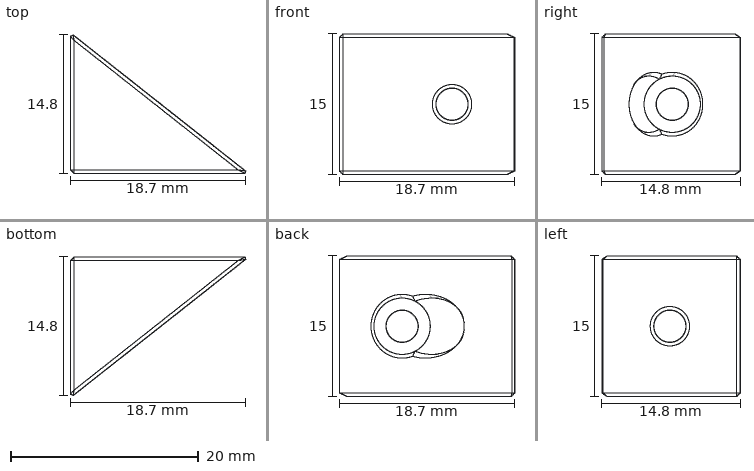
import cadquery as cq
import math

leg_x = 19.0
leg_y = 15.0
height = 15.0
edge_chamfer = 0.4

hole_diameter = 3.4
head_diameter = 6.0
seat_thickness = 2.0
hole_z = height / 2
front_hole_x = 12.0
side_hole_y = leg_y / 2

corners = [cq.Vector(0, 0), cq.Vector(leg_x, 0), cq.Vector(0, leg_y)]


def corner_points(index):
    """Chamfer points of one corner: where it is cut on the incoming and outgoing sides,
    and the nearby corner of the cap, which is inset from both sides."""
    corner = corners[index]
    to_previous = (corners[index - 1] - corner).normalized()
    to_next = (corners[(index + 1) % len(corners)] - corner).normalized()
    half_angle = to_previous.getAngle(to_next) / 2
    bisector = (to_previous + to_next).normalized()
    incoming_cut = corner + to_previous * edge_chamfer
    outgoing_cut = corner + to_next * edge_chamfer
    cap_corner = corner + bisector * (edge_chamfer / math.sin(half_angle))
    return incoming_cut, outgoing_cut, cap_corner


def flat_face(*points):
    return cq.Face.makeFromWires(cq.Wire.makePolygon(points, close=True))


def make_block():
    """Triangular prism with every edge chamfered and a flat triangle at every corner."""
    low_wall = cq.Vector(0, 0, edge_chamfer)
    high_wall = cq.Vector(0, 0, height - edge_chamfer)
    cap_levels = [(cq.Vector(0, 0, 0), low_wall), (cq.Vector(0, 0, height), high_wall)]
    points = [corner_points(index) for index in range(len(corners))]
    faces = []

    for cap, _ in cap_levels:
        faces.append(flat_face(*[cap_corner + cap for _, _, cap_corner in points]))

    for index, (incoming_cut, outgoing_cut, cap_corner) in enumerate(points):
        next_cut, _, next_cap_corner = points[(index + 1) % len(points)]

        for start, end in [(incoming_cut, outgoing_cut), (outgoing_cut, next_cut)]:
            faces.append(
                flat_face(start + low_wall, end + low_wall, end + high_wall, start + high_wall)
            )

        for cap, wall in cap_levels:
            faces.append(flat_face(incoming_cut + wall, outgoing_cut + wall, cap_corner + cap))
            faces.append(
                flat_face(
                    outgoing_cut + wall, next_cut + wall, next_cap_corner + cap, cap_corner + cap
                )
            )

    return cq.Workplane(cq.Solid.makeSolid(cq.Shell.makeShell(faces)))


def make_screw_cutter(mouth, direction, length):
    """Chamfered screw hole starting at mouth, widening to the head recess behind its seat."""
    hole_radius = hole_diameter / 2
    hole = cq.Solid.makeCylinder(hole_radius, length, mouth, direction)
    mouth_chamfer = cq.Solid.makeCone(
        hole_radius + edge_chamfer, hole_radius, edge_chamfer, mouth, direction
    )
    seat = mouth + direction * seat_thickness
    recess = cq.Solid.makeCylinder(head_diameter / 2, length - seat_thickness, seat, direction)
    return hole.fuse(mouth_chamfer, recess)


def chamfer_recess_rims(body):
    """Chamfer the curved rims that the two recesses leave in the sloped face."""
    outward = cq.Vector(leg_y, leg_x, 0)
    sloped_face = body.faces(cq.selectors.DirectionMinMaxSelector(outward, True))
    rims = sloped_face.edges("%ELLIPSE").vals()
    chamfered = body.solids().val().chamfer(edge_chamfer, None, rims)
    return cq.Workplane(chamfered.Solids()[0])


front_screw = make_screw_cutter(cq.Vector(front_hole_x, 0, hole_z), cq.Vector(0, 1, 0), leg_y)
side_screw = make_screw_cutter(cq.Vector(0, side_hole_y, hole_z), cq.Vector(1, 0, 0), leg_x)

drilled_block = make_block().cut(front_screw).cut(side_screw)
result = chamfer_recess_rims(drilled_block)